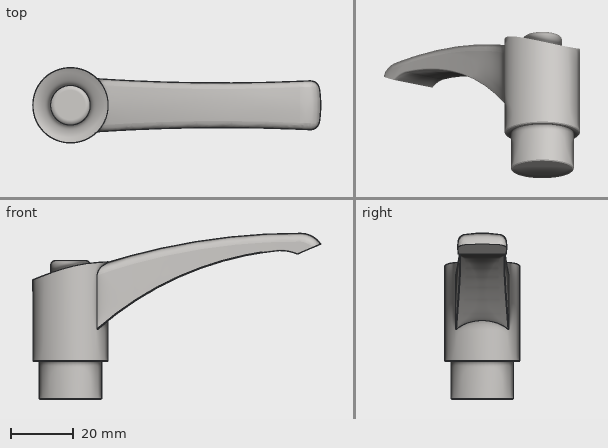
import cadquery as cq
import math

hub_radius = 12.0
stem_radius = 10.0
stem_height = 12.0
edge_chamfer = 0.3

bowl_front_z = 38.05
bowl_back_z = 43.8
bowl_bend_radius = 35.0
bowl_cross_radius = 22.6
bowl_overhang = 1.0

button_radius = 6.3
button_top = 44.2
button_fillet = 1.5

tip_x = 79.69
tip_z = 49.4
crest_x = 73.2
crest_z = 52.93
nose_run = tip_x - crest_x
nose_drop = crest_z - tip_z
nose_radius = (nose_run**2 + nose_drop**2) / (2 * nose_drop)
top_radius = 207.0
crown_radius = 35.0
underside_root = (8.5, 22.1)
underside_mid = (41.1, 41.55)
underside_end = (66.3, 47.3)
heel = (72.2, 46.2)
heel_mid = (69.5, 47.05)

root_x = 4.0
root_half_width = 8.8
waist_x = 50.0
waist_half_width = 7.15
end_half_width = 8.0
end_corner_radius = 3.5
top_fillet = 2.4
underside_fillet = 0.3


def arc_sag(radius, half_chord):
    """Depth of a circular arc below its crest at the given half chord."""
    return radius - math.sqrt(radius**2 - half_chord**2)


def make_hub():
    """Stepped cylinder with chamfered lower rims, still flat on top."""
    stem = cq.Workplane("XY").circle(stem_radius).extrude(stem_height)
    stem = stem.faces("<Z").chamfer(edge_chamfer)
    body = cq.Workplane("XY").workplane(offset=stem_height).circle(hub_radius)
    body = body.extrude(button_top - stem_height).faces("<Z").chamfer(edge_chamfer)
    return body.union(stem)


def make_bowl():
    """Barrel that hollows the hub top and meets its front and back at the given heights."""
    half_rise = (bowl_back_z - bowl_front_z) / 2
    half_chord = math.hypot(hub_radius, half_rise)
    center_height = math.sqrt(bowl_bend_radius**2 - half_chord**2)
    axis_x = -center_height * half_rise / half_chord
    axis_z = bowl_front_z + half_rise + center_height * hub_radius / half_chord
    half_width = hub_radius + bowl_overhang
    barrel_end_radius = bowl_bend_radius - arc_sag(bowl_cross_radius, half_width)
    section = (
        cq.Workplane("XY")
        .moveTo(0, -half_width)
        .lineTo(barrel_end_radius, -half_width)
        .threePointArc((bowl_bend_radius, 0), (barrel_end_radius, half_width))
        .lineTo(0, half_width)
        .close()
    )
    return section.revolve(360, (0, 0), (0, 1)).translate((axis_x, 0, axis_z))


def make_button():
    """Round button with a filleted top edge."""
    button = cq.Workplane("XY").workplane(offset=stem_height).circle(button_radius)
    return button.extrude(button_top - stem_height).faces(">Z").edges().fillet(button_fillet)


def make_side_profile():
    """Side outline of the handle, as a slab wider than the handle."""
    profile = (
        cq.Workplane("XZ")
        .moveTo(root_x, underside_root[1])
        .lineTo(*underside_root)
        .threePointArc(underside_mid, underside_end)
        .threePointArc(heel_mid, heel)
        .lineTo(tip_x, tip_z)
        .lineTo(tip_x, crest_z)
        .lineTo(root_x, crest_z)
        .close()
    )
    return profile.extrude(hub_radius, both=True)


def make_plan():
    """Waisted plan outline of the handle with rounded outer corners."""
    plan = (
        cq.Workplane("XY")
        .moveTo(root_x, -root_half_width)
        .threePointArc((waist_x, -waist_half_width), (tip_x, -end_half_width))
        .lineTo(tip_x, end_half_width)
        .threePointArc((waist_x, waist_half_width), (root_x, root_half_width))
        .close()
        .extrude(crest_z)
    )
    return plan.edges("|Z and >X").fillet(end_corner_radius)


def make_crowned_band(bend_radius, angle):
    """Quarter ring below a face that is bent along X and slightly crowned across Y."""
    sag = arc_sag(crown_radius, hub_radius)
    center_z = crest_z - bend_radius
    section = (
        cq.Workplane("YZ", origin=(crest_x, 0, 0))
        .moveTo(-hub_radius, center_z)
        .lineTo(-hub_radius, crest_z - sag)
        .threePointArc((0, crest_z), (hub_radius, crest_z - sag))
        .lineTo(hub_radius, center_z)
        .close()
    )
    axis_end = (math.copysign(1, angle), center_z)
    return section.revolve(abs(angle), (0, center_z), axis_end)


def flank_edges(low, high):
    """Edges along both flanks whose centers lie between two (x, z) corners."""
    inner = waist_half_width
    outer = root_half_width
    left = cq.selectors.BoxSelector((low[0], inner, low[1]), (high[0], outer, high[1]))
    right = cq.selectors.BoxSelector((low[0], -outer, low[1]), (high[0], -inner, high[1]))
    return left + right


def make_handle():
    """Crowned handle bar with blended top edges and softened underside edges."""
    top = make_crowned_band(top_radius, -90).union(make_crowned_band(nose_radius, 90))
    handle = make_side_profile().intersect(make_plan()).intersect(top)

    corner_start_x = tip_x - end_corner_radius
    nose_edges = flank_edges((crest_x, crest_z - top_fillet), (corner_start_x, crest_z))
    handle = handle.edges(nose_edges).fillet(top_fillet)
    underside_edges = flank_edges(underside_root, (corner_start_x, underside_mid[1]))
    return handle.edges(underside_edges).fillet(underside_fillet)


handle = make_handle()
hub = make_hub().cut(make_bowl())
hub_core = cq.Workplane("XY").circle(hub_radius).extrude(2 * crest_z)
result = hub.union(make_button()).union(handle.cut(hub_core))